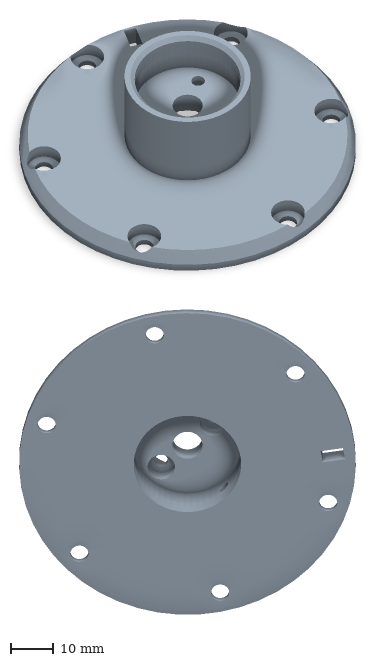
import cadquery as cq
import math

flange_diameter = 80.0
flange_thickness = 5.0
bevel_height = 3.0
bevel_width = 2.0

hub_diameter = 30.0
total_height = 25.0
bore_diameter = 25.15
bore_depth = 10.0
bore_chamfer = 1.0

cavity_diameter = 25.5
floor_thickness = 5.0

center_hole_diameter = 7.15
pin_hole_diameter = 3.2
pin_hole_spacing = 17.0
pin_head_diameter = 6.5
pin_web_thickness = 1.5

screw_count = 6
screw_circle_diameter = 70.0
screw_hole_diameter = 4.3
screw_head_diameter = 8.0
screw_head_depth = 3.5

radial_hole_diameter = 2.8
radial_hole_height = 6.5

slot_length = 5.4
slot_width = 3.0
slot_center_radius = 34.6
slot_position_angle = 129.0
slot_long_axis_angle = 124.0


def make_body():
    """Revolved half-profile of the bevelled flange with the hub on top."""
    flange_radius = flange_diameter / 2
    hub_radius = hub_diameter / 2
    profile = [
        (0, 0),
        (flange_radius, 0),
        (flange_radius, flange_thickness - bevel_height),
        (flange_radius - bevel_width, flange_thickness),
        (hub_radius, flange_thickness),
        (hub_radius, total_height),
        (0, total_height),
    ]
    return cq.Workplane("XZ").polyline(profile).close().revolve(360, (0, 0), (0, 1))


def make_bore():
    """Blind bore in the hub, with a chamfered mouth."""
    bore_radius = bore_diameter / 2
    profile = [
        (0, total_height - bore_depth),
        (bore_radius, total_height - bore_depth),
        (bore_radius, total_height - bore_chamfer),
        (bore_radius + bore_chamfer, total_height),
        (0, total_height),
    ]
    return cq.Workplane("XZ").polyline(profile).close().revolve(360, (0, 0), (0, 1))


def make_cavity():
    """Round cavity from the underside up to the floor of the bore."""
    cavity_height = total_height - bore_depth - floor_thickness
    return cq.Workplane("XY").circle(cavity_diameter / 2).extrude(cavity_height)


def make_floor_holes():
    """Center hole and two pin holes through the floor, the pin holes counterbored from below."""
    pin_points = [(0, -pin_hole_spacing / 2), (0, pin_hole_spacing / 2)]
    pin_head_top = total_height - bore_depth - pin_web_thickness
    center_hole = cq.Workplane("XY").circle(center_hole_diameter / 2).extrude(total_height)
    pin_holes = (
        cq.Workplane("XY")
        .pushPoints(pin_points)
        .circle(pin_hole_diameter / 2)
        .extrude(total_height)
    )
    pin_heads = (
        cq.Workplane("XY")
        .pushPoints(pin_points)
        .circle(pin_head_diameter / 2)
        .extrude(pin_head_top)
    )
    return center_hole.union(pin_holes).union(pin_heads)


def make_screw_holes():
    """Ring of counterbored screw holes, the first one on the +Y axis."""
    ring_radius = screw_circle_diameter / 2
    first_angle = 90
    shanks = (
        cq.Workplane("XY")
        .polarArray(ring_radius, first_angle, 360, screw_count)
        .circle(screw_hole_diameter / 2)
        .extrude(flange_thickness)
    )
    heads = (
        cq.Workplane("XY", origin=(0, 0, flange_thickness - screw_head_depth))
        .polarArray(ring_radius, first_angle, 360, screw_count)
        .circle(screw_head_diameter / 2)
        .extrude(screw_head_depth)
    )
    return shanks.union(heads)


def make_radial_hole():
    """Hole from the -X side of the hub into the cavity."""
    return (
        cq.Workplane("YZ", origin=(-hub_diameter / 2, 0, radial_hole_height))
        .circle(radial_hole_diameter / 2)
        .extrude(hub_diameter / 2)
    )


def make_slot():
    """Rectangular slot through the flange near its rim."""
    position_angle = math.radians(slot_position_angle)
    slot_x = slot_center_radius * math.cos(position_angle)
    slot_y = slot_center_radius * math.sin(position_angle)
    return (
        cq.Workplane("XY")
        .rect(slot_length, slot_width)
        .extrude(flange_thickness)
        .rotate((0, 0, 0), (0, 0, 1), slot_long_axis_angle)
        .translate((slot_x, slot_y, 0))
    )


result = (
    make_body()
    .cut(make_bore())
    .cut(make_cavity())
    .cut(make_floor_holes())
    .cut(make_screw_holes())
    .cut(make_radial_hole())
    .cut(make_slot())
)